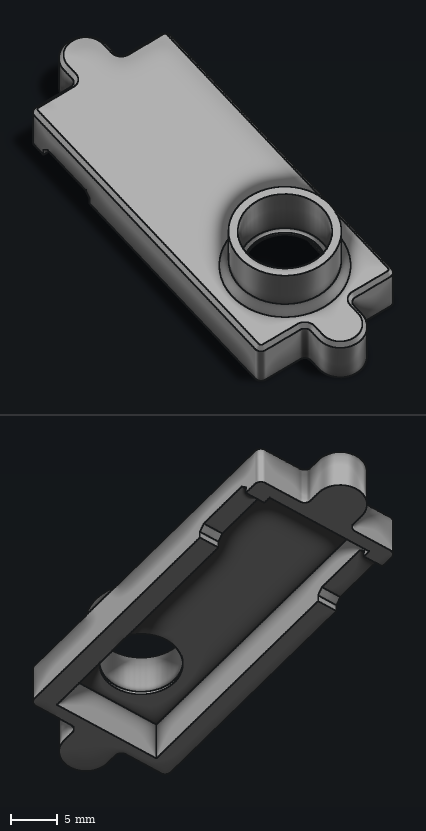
import cadquery as cq

body_length = 41.5
body_width = 18.4
plate_height = 5.7
corner_radius = 0.8
top_chamfer = 0.5

ear_spacing = 46.0
ear_radius = 2.9
ear_root_radius = 0.8

collar_x = 13.0
collar_diameter = 12.2
collar_top = 11.7
foot_height = 1.0
foot_diameter = collar_diameter + 2 * foot_height
socket_diameter = 10.2
socket_floor = plate_height
hole_diameter = 9.0

roof_thickness = 0.4
end_wall = 1.5
side_wall = 2.5

channel_start_x = -18.3
channel_length = 8.3
channel_height = 1.6
channel_chamfer = 0.7


def make_plate():
    """Rectangular plate with two rounded ears and a chamfered top rim."""
    body = (
        cq.Workplane("XY")
        .rect(body_length, body_width)
        .extrude(plate_height)
        .edges("|Z")
        .fillet(corner_radius)
    )
    ears = (
        cq.Workplane("XY")
        .slot2D(ear_spacing + 2 * ear_radius, 2 * ear_radius)
        .extrude(plate_height)
    )
    plate = body.union(ears)

    half_length = body_length / 2
    for side in (-1, 1):
        for flank in (-1, 1):
            root = (side * half_length, flank * ear_radius, plate_height / 2)
            plate = plate.edges(cq.selectors.NearestToPointSelector(root)).fillet(ear_root_radius)

    return plate.faces(">Z").edges().chamfer(top_chamfer)


def make_collar():
    """Collar cylinder standing on a 45 degree conical foot."""
    collar_radius = collar_diameter / 2
    foot_radius = foot_diameter / 2
    foot_top = plate_height + foot_height
    return (
        cq.Workplane("XZ")
        .polyline([
            (0, plate_height),
            (foot_radius, plate_height),
            (collar_radius, foot_top),
            (collar_radius, collar_top),
            (0, collar_top),
        ])
        .close()
        .revolve(360, (0, 0, 0), (0, 1, 0))
        .translate((collar_x, 0, 0))
    )


def make_bore():
    """Through hole widening into a socket inside the collar."""
    hole = cq.Workplane("XY").circle(hole_diameter / 2).extrude(collar_top)
    socket = (
        cq.Workplane("XY", origin=(0, 0, socket_floor))
        .circle(socket_diameter / 2)
        .extrude(collar_top - socket_floor)
    )
    return hole.union(socket).translate((collar_x, 0, 0))


def make_cavity():
    """Rectangular cavity cutter leaving the walls and a thin roof."""
    return (
        cq.Workplane("XY")
        .rect(body_length - 2 * end_wall, body_width - 2 * side_wall)
        .extrude(plate_height - roof_thickness)
    )


def make_channel():
    """Channel cutter running the full width, with bevelled upper corners."""
    channel_centre_x = channel_start_x + channel_length / 2
    return (
        cq.Workplane("XY", origin=(channel_centre_x, 0, 0))
        .rect(channel_length, body_width)
        .extrude(channel_height)
        .edges("|Y and >Z")
        .chamfer(channel_chamfer)
    )


shell = make_plate().union(make_collar()).cut(make_cavity())
result = shell.cut(make_bore()).cut(make_channel())